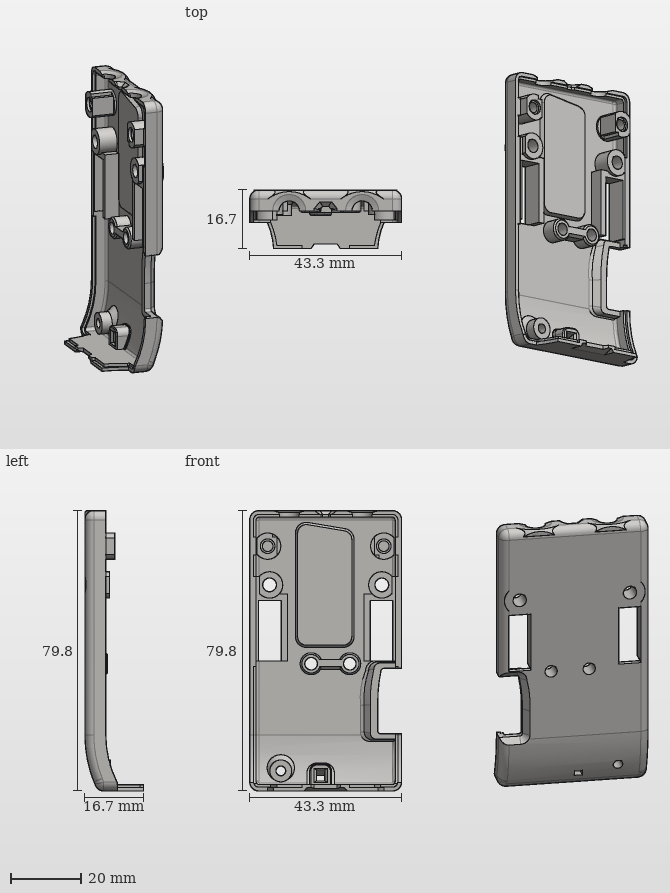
import cadquery as cq
import math


WIDTH = 43.25
HEIGHT = 79.8
HALF_WIDTH = WIDTH / 2
RIM_DEPTH = 6.0
TIP_DEPTH = 16.7
EDGE_RADIUS = 2.55
CORNER_RADIUS = 2.6
WALL = 1.8
FLOOR = 1.7
FLOOR_FILLET = 0.8
CAVITY_CORNER_RADIUS = 0.95

BEND_Z = 15.95
RIM_BEND_RADIUS = 29.8
BEND_AXIS_DEPTH = RIM_DEPTH + RIM_BEND_RADIUS
LOWER_RIM_DEPTH = 9.25

LEDGE_INSET = 1.1
LEDGE_DROP = 0.7
LEDGE_GAP = (35.4, 61.0)

POST_X = 16.5
POST_Z = 69.7
POST_RADIUS = 3.75
POST_DEPTH = 8.5
POST_FOOT_DEPTH = 2.2
POST_INNER_FLAT = 2.6
POST_OUTER_FLAT = 2.95
POST_NOTCH_X = 1.35
POST_NOTCH_Z = 2.55
POST_HOLE_RADIUS = 1.5
POST_COUNTERBORE_RADIUS = 2.1
POST_COUNTERBORE_DEPTH = 0.8
POST_HOLE_DEPTH = 5.6

BOSS_X = 15.95
BOSS_Z = 58.65
BOSS_RADIUS = 3.75
BOSS_DEPTH = 7.0
BOSS_HOLE_RADIUS = 1.9
BOSS_FLAT_X = 18.8
BACK_PAD_RADIUS = 4.4

WINDOW_INNER_X = 12.7
WINDOW_OUTER_X = 19.1
WINDOW_Z = (37.0, 54.2)
FRAME_WALL = 1.8
FRAME_DEPTH = 5.9

PANEL_X = (-8.6, 8.05)
PANEL_BOTTOM_Z = 40.85
PANEL_LEFT_Z = 77.0
PANEL_RIGHT_Z = 74.2
PANEL_RADIUS = 3.1
PANEL_DEPTH = 2.9
PANEL_EDGE = 0.6

TWIN_X = (-4.15, 6.9)
TWIN_Z = 36.2
TWIN_RADIUS = 3.1
TWIN_HOLE_RADIUS = 1.75
TWIN_DEPTH = 6.4
TWIN_CHAMFER = 0.5
LINK_Z = (34.6, 37.4)
LINK_CHAMFER = 0.8

LOWER_BOSS_X = -12.8
LOWER_BOSS_Z = 5.75
LOWER_BOSS_RADIUS = 3.1
LOWER_BOSS_DEPTH = 7.3
LOWER_BOSS_HOLE_RADIUS = 1.35
LOWER_FOOT_RADIUS = 4.95
LOWER_FOOT_DEPTH = 4.15

LOOP_X = -1.4
LOOP_HALF_WIDTH = 3.1
LOOP_TOP_Z = 7.75
LOOP_DEPTH = 7.2
LOOP_CORNER = 2.1
LOOP_CHAMFER = 0.3
LOOP_FOOT_MARGIN = 0.8
LOOP_FOOT_TOP_Z = 8.0
LOOP_FOOT_RISE = 0.3
LOOP_HOLE_SECTIONS = (
    (LOOP_DEPTH, 1.9, (2.5, 6.5)),
    (LOOP_DEPTH - 2 * LOOP_CHAMFER, 1.2, (2.9, 6.1)),
    (0, 1.1, (2.95, 3.75)),
)

OPENING_KNEE_DEPTH = 2.0
OPENING_CURB_DEPTH = 3.75
OPENING_Z = (16.35, 34.9)
OPENING_UPPER_X = 15.7
OPENING_LOWER_X = 14.85
OPENING_RADIUS = 0.8
OPENING_FLARE = 1.8

CABLE_X = 10.4
CABLE_RADIUS = 2.9
CABLE_MOUTH_RADIUS = 4.7
CABLE_MOUTH_DROP = 0.55
CABLE_HUMP_HALF_WIDTH = 6.1
CABLE_HUMP_BASE_HALF_WIDTH = 6.9
CABLE_HUMP_APEX_DEPTH = 0.5
CABLE_HUMP_FLARE = 1.75

LATCH_MOUTH_HALF_WIDTH = 3.3
LATCH_MOUTH_RISE = 2.6
LATCH_HALF_WIDTH = 1.7
LATCH_RISE = 1.35
LATCH_BEVEL_Z = 78.7

LIP_ROOT_X = 16.6
LIP_MID_X = 15.3
LIP_MID_DEPTH = 13.2
LIP_TIP_X = 14.85
LIP_STEP = 0.95
LIP_CENTER_X = 6.7
LIP_NOTCH_OUTER_X = 4.15
LIP_NOTCH_INNER_X = 3.3
LIP_NOTCH_LENGTH = 1.3
LIP_RAMP_HALF_WIDTH = 6.15
LIP_RAMP_TOP_HALF_WIDTH = 5.3
LIP_RAMP_HEIGHT = 1.0
LIP_RAMP_LENGTH = 4.0


def front_plane(depth):
    """Sketch plane facing -Y; local axes are X and Z, extrusion adds depth."""
    return cq.Workplane("XZ").workplane(offset=depth)


def block(x_range, z_range, start, end):
    return cq.Workplane("XY").box(
        x_range[1] - x_range[0], end - start, z_range[1] - z_range[0], centered=False
    ).translate((x_range[0], -end, z_range[0]))


def cylinder(x, z, radius, start, end):
    return front_plane(start).center(x, z).circle(radius).extrude(end - start)


def bend_depth(radius, z):
    """Depth of a bend arc of the given radius at height z."""
    return BEND_AXIS_DEPTH - math.sqrt(radius ** 2 - (BEND_Z - z) ** 2)


def bend_arc(sketch, radius, end_z):
    """Add the bend arc from BEND_Z down to end_z."""
    mid_z = (BEND_Z + end_z) / 2
    return sketch.threePointArc(
        (-bend_depth(radius, mid_z), mid_z), (-bend_depth(radius, end_z), end_z)
    )


def bent_prism(start_depth, bottom_z, top_z, half_width):
    """Everything in front of a bent surface that lies start_depth from the back."""
    front = TIP_DEPTH + 0.8
    sketch = cq.Workplane("YZ").moveTo(-front, top_z).lineTo(-start_depth, top_z).lineTo(-start_depth, BEND_Z)
    sketch = bend_arc(sketch, BEND_AXIS_DEPTH - start_depth, bottom_z)
    return sketch.lineTo(-front, bottom_z).close().extrude(half_width, both=True)


def rim_bend_end(radius, depth):
    """Height at which a bend arc reaches the given depth."""
    return BEND_Z - math.sqrt(radius ** 2 - (BEND_AXIS_DEPTH - depth) ** 2)


def rim_front_prism(drop, inset):
    """Everything in front of the rim surface lowered by drop, inset from the outer sides."""
    radius = RIM_BEND_RADIUS + drop
    lower_depth = LOWER_RIM_DEPTH - drop
    front = TIP_DEPTH + 0.8
    sketch = (
        cq.Workplane("YZ").moveTo(-front, HEIGHT - inset)
        .lineTo(drop - RIM_DEPTH, HEIGHT - inset).lineTo(drop - RIM_DEPTH, BEND_Z)
    )
    sketch = bend_arc(sketch, radius, rim_bend_end(radius, lower_depth))
    sketch = sketch.lineTo(-lower_depth, inset).lineTo(-front, inset).close()
    return sketch.extrude(HALF_WIDTH - inset, both=True)


def outer_body():
    body = bent_prism(0, 0, HEIGHT, HALF_WIDTH).cut(rim_front_prism(0, 0))
    body = body.edges("|Y").fillet(CORNER_RADIUS)
    body = body.faces(">Y").edges(">Z").fillet(EDGE_RADIUS)
    for side in (-1, 1):
        body = body.union(cylinder(side * BOSS_X, BOSS_Z, BACK_PAD_RADIUS, 0, RIM_DEPTH))
        body = body.union(cable_hump(side * CABLE_X))
    return body.cut(opening_cut())


def cable_hump_outline(x, z, half_width, apex_depth):
    """Bowed outline that reaches apex_depth behind the middle of a cable notch."""
    return (
        cq.Workplane("XY").workplane(offset=z)
        .moveTo(x - half_width, -EDGE_RADIUS)
        .threePointArc((x, -apex_depth), (x + half_width, -EDGE_RADIUS))
        .lineTo(x + half_width, -RIM_DEPTH).lineTo(x - half_width, -RIM_DEPTH)
        .close().val()
    )


def cable_hump(x):
    """Flared hump that squares off the rounded top edge behind a cable notch."""
    crest = cable_hump_outline(x, HEIGHT, CABLE_HUMP_HALF_WIDTH, CABLE_HUMP_APEX_DEPTH)
    base = cable_hump_outline(
        x, HEIGHT - WALL, CABLE_HUMP_BASE_HALF_WIDTH, CABLE_HUMP_APEX_DEPTH - CABLE_HUMP_FLARE
    )
    hump = cq.Workplane(cq.Solid.makeLoft([base, crest], True))
    return hump.intersect(block((-HALF_WIDTH, HALF_WIDTH), (0, HEIGHT), 0, RIM_DEPTH))


def cavity():
    space = bent_prism(FLOOR, WALL, HEIGHT - WALL, HALF_WIDTH - WALL)
    space = space.edges("|Y").fillet(CAVITY_CORNER_RADIUS)
    return space.faces(">Y").edges(">Z").fillet(FLOOR_FILLET)


def ledge():
    space = rim_front_prism(LEDGE_DROP, LEDGE_INSET).edges("|Y").fillet(CORNER_RADIUS - LEDGE_INSET)
    full_width = (-HALF_WIDTH, HALF_WIDTH)
    post_gap = (POST_Z - POST_NOTCH_Z, POST_Z + POST_NOTCH_Z)
    for gap in (LEDGE_GAP, post_gap):
        space = space.cut(block(full_width, gap, 0, TIP_DEPTH + 0.8))
    return space


def lip_outline(inset):
    """Flared plate outline; inset trims its sides and its tip."""
    tip = TIP_DEPTH - inset
    return (
        cq.Workplane("XY")
        .moveTo(-LIP_ROOT_X + inset, -LOWER_RIM_DEPTH + LEDGE_DROP)
        .lineTo(-LIP_ROOT_X + inset, -LOWER_RIM_DEPTH)
        .threePointArc((-LIP_MID_X + inset, -LIP_MID_DEPTH), (-LIP_TIP_X + inset, -tip))
        .lineTo(LIP_TIP_X - inset, -tip)
        .threePointArc((LIP_MID_X - inset, -LIP_MID_DEPTH), (LIP_ROOT_X - inset, -LOWER_RIM_DEPTH))
        .lineTo(LIP_ROOT_X - inset, -LOWER_RIM_DEPTH + LEDGE_DROP)
        .close()
    )


def lip():
    plate = lip_outline(0).extrude(LIP_STEP).union(lip_outline(LIP_STEP).extrude(WALL))
    plate = plate.union(block((-LIP_CENTER_X, LIP_CENTER_X), (0, WALL), LOWER_RIM_DEPTH, TIP_DEPTH))
    notch = (
        cq.Workplane("XY")
        .polyline([
            (-LIP_NOTCH_OUTER_X, -TIP_DEPTH),
            (-LIP_NOTCH_INNER_X, -TIP_DEPTH + LIP_NOTCH_LENGTH),
            (LIP_NOTCH_INNER_X, -TIP_DEPTH + LIP_NOTCH_LENGTH),
            (LIP_NOTCH_OUTER_X, -TIP_DEPTH),
        ])
        .close().extrude(WALL)
    )
    ramp_end = front_plane(TIP_DEPTH).polyline([
        (-LIP_RAMP_HALF_WIDTH, 0), (-LIP_RAMP_TOP_HALF_WIDTH, LIP_RAMP_HEIGHT),
        (LIP_RAMP_TOP_HALF_WIDTH, LIP_RAMP_HEIGHT), (LIP_RAMP_HALF_WIDTH, 0),
    ]).close().extrude(-LIP_RAMP_LENGTH)
    ramp_wedge = (
        cq.Workplane("YZ")
        .polyline([(-TIP_DEPTH, 0), (-TIP_DEPTH, LIP_RAMP_HEIGHT), (LIP_RAMP_LENGTH - TIP_DEPTH, 0)])
        .close().extrude(LIP_RAMP_HALF_WIDTH, both=True)
    )
    return plate.cut(notch).cut(ramp_end.intersect(ramp_wedge))


def opening_outline(depth, upper_x, lower_x, z_range, radius):
    """Side opening outline whose inner edge bows from upper_x down to lower_x."""
    bottom, top = z_range
    far = HALF_WIDTH
    straight_z = bottom + (top - bottom) * 0.45
    mid_x = lower_x + (upper_x - lower_x) / 4
    mid_z = (straight_z + top) / 2
    diagonal = radius * math.sqrt(0.5)
    return (
        front_plane(depth)
        .moveTo(far, top).lineTo(upper_x + radius, top)
        .threePointArc((upper_x + radius - diagonal, top - radius + diagonal), (upper_x, top - radius))
        .threePointArc((mid_x, mid_z), (lower_x, straight_z))
        .lineTo(lower_x, bottom + radius)
        .threePointArc((lower_x + radius - diagonal, bottom + radius - diagonal), (lower_x + radius, bottom))
        .lineTo(far, bottom).close()
    )


def opening_curb():
    """Curb that swells at its foot and then rises steeply to a flat crest."""
    foot = opening_outline(FLOOR, 11.3, 9.9, (14.0, 37.0), 2.8).val()
    knee = opening_outline(OPENING_KNEE_DEPTH, 12.2, 10.9, (14.5, 36.7), 2.4).val()
    crest = opening_outline(OPENING_CURB_DEPTH, 13.7, 12.7, (14.85, 36.4), 1.6).val()
    return cq.Workplane(cq.Solid.makeLoft([foot, knee, crest], True))


def opening_cut():
    """Side opening, flared toward the back."""
    bottom, top = OPENING_Z
    flare = OPENING_FLARE
    back = opening_outline(
        0, OPENING_UPPER_X - flare, OPENING_LOWER_X - flare, (bottom - flare, top + flare),
        OPENING_RADIUS + flare,
    )
    throat = opening_outline(flare, OPENING_UPPER_X, OPENING_LOWER_X, OPENING_Z, OPENING_RADIUS)
    mouth = cq.Workplane(cq.Solid.makeLoft([back.val(), throat.val()], True))
    return throat.extrude(TIP_DEPTH).union(mouth)


def side_post(side):
    """Upper post with flats and a corner notch; the two posts are half-turn copies."""
    post = cylinder(0, 0, POST_RADIUS, POST_FOOT_DEPTH, POST_DEPTH)
    reach = 2 * POST_RADIUS
    post = post.cut(block((POST_INNER_FLAT, reach), (-reach, reach), 0, POST_DEPTH))
    post = post.cut(block((POST_NOTCH_X, reach), (POST_NOTCH_Z, reach), 0, POST_DEPTH))
    post = post.union(cylinder(0, 0, POST_RADIUS, FLOOR / 2, POST_FOOT_DEPTH))
    post = post.cut(block((-reach, -POST_OUTER_FLAT), (-reach, reach), 0, POST_DEPTH))
    if side > 0:
        post = post.rotate((0, 0, 0), (0, 1, 0), 180)
    return post.translate((side * POST_X, 0, POST_Z))


def side_post_hole(side):
    x = side * POST_X
    hole = cylinder(x, POST_Z, POST_HOLE_RADIUS, POST_DEPTH - POST_HOLE_DEPTH, POST_DEPTH)
    return hole.union(
        cylinder(x, POST_Z, POST_COUNTERBORE_RADIUS, POST_DEPTH - POST_COUNTERBORE_DEPTH, POST_DEPTH)
    )


def mirrored_range(side, inner, outer):
    return tuple(sorted((side * inner, side * outer)))


def screw_boss(side):
    boss = cylinder(side * BOSS_X, BOSS_Z, BOSS_RADIUS, FLOOR / 2, BOSS_DEPTH)
    outside = mirrored_range(side, BOSS_FLAT_X, HALF_WIDTH)
    return boss.cut(block(outside, (0, HEIGHT), 0, BOSS_DEPTH))


def window_frame(side):
    """Guard wall beside the window, joined to the side wall above and along the window."""
    bottom, top = WINDOW_Z
    guard_x = mirrored_range(side, WINDOW_INNER_X - FRAME_WALL, BOSS_FLAT_X)
    guard = block(guard_x, (bottom, top + FRAME_WALL), FLOOR / 2, FRAME_DEPTH)
    filler_x = mirrored_range(side, BOSS_FLAT_X, HALF_WIDTH - WALL / 2)
    return guard.union(block(filler_x, (bottom, LEDGE_GAP[1]), FLOOR / 2, FRAME_DEPTH))


def window_cut(side):
    return block(mirrored_range(side, WINDOW_INNER_X, WINDOW_OUTER_X), WINDOW_Z, 0, TIP_DEPTH)


def raised_panel():
    left, right = PANEL_X
    panel = (
        front_plane(FLOOR / 2)
        .polyline([
            (left, PANEL_BOTTOM_Z), (right, PANEL_BOTTOM_Z), (right, PANEL_RIGHT_Z), (left, PANEL_LEFT_Z),
        ])
        .close().extrude(PANEL_DEPTH - FLOOR / 2)
    )
    panel = panel.edges("|Y").fillet(PANEL_RADIUS)
    return panel.faces("<Y").chamfer(PANEL_DEPTH - FLOOR, PANEL_EDGE)


def twin_bosses():
    link = block(TWIN_X, LINK_Z, FLOOR / 2, TWIN_DEPTH)
    link = link.faces("<Y").edges("<Z").chamfer(LINK_CHAMFER)
    for x in TWIN_X:
        boss = cylinder(x, TWIN_Z, TWIN_RADIUS, FLOOR / 2, TWIN_DEPTH)
        link = link.union(boss.faces("<Y").chamfer(TWIN_CHAMFER))
    return link


def lower_boss():
    boss = cylinder(LOWER_BOSS_X, LOWER_BOSS_Z, LOWER_BOSS_RADIUS, FLOOR, LOWER_BOSS_DEPTH)
    foot = cq.Solid.makeCone(
        LOWER_FOOT_RADIUS, LOWER_BOSS_RADIUS, LOWER_FOOT_DEPTH - FLOOR,
        cq.Vector(LOWER_BOSS_X, -FLOOR, LOWER_BOSS_Z), cq.Vector(0, -1, 0),
    )
    return boss.union(cq.Workplane(foot))


def strap_loop():
    half = LOOP_HALF_WIDTH
    loop = block((LOOP_X - half, LOOP_X + half), (WALL / 2, LOOP_TOP_Z), FLOOR, LOOP_DEPTH)
    loop = loop.edges("|Y and >Z").fillet(LOOP_CORNER)
    loop = loop.faces("<Y").edges("not <Z").chamfer(LOOP_CHAMFER)
    half += LOOP_FOOT_MARGIN
    foot = block((LOOP_X - half, LOOP_X + half), (WALL / 2, LOOP_FOOT_TOP_Z), FLOOR, LOOP_DEPTH)
    foot = foot.edges("|Y and >Z").fillet(LOOP_CORNER + LOOP_FOOT_MARGIN)
    return loop.union(foot.cut(bent_prism(FLOOR + LOOP_FOOT_RISE, 0, HEIGHT, HALF_WIDTH)))


def strap_loop_hole():
    """Hole that narrows at its mouth and again toward the back."""
    sections = []
    for depth, half_width, z_range in LOOP_HOLE_SECTIONS:
        bottom, top = z_range
        section = front_plane(depth).center(LOOP_X, (bottom + top) / 2).rect(2 * half_width, top - bottom)
        sections.append(section.val())
    return cq.Workplane(cq.Solid.makeLoft(sections, True))


def cable_notch(x):
    """Half-round notch whose mouth opens in a shallow cone to the top face."""
    profile = (
        cq.Workplane("XZ")
        .polyline([
            (0, HEIGHT - 2 * WALL),
            (CABLE_RADIUS, HEIGHT - 2 * WALL),
            (CABLE_RADIUS, HEIGHT - CABLE_MOUTH_DROP),
            (CABLE_MOUTH_RADIUS, HEIGHT),
            (0, HEIGHT),
        ])
        .close()
    )
    return profile.revolve(360, (0, 0, 0), (0, 1, 0)).translate((x, -RIM_DEPTH, 0))


def half_octagon(z, half_width, rise):
    """Outline in the wall plane, rising from the rim toward the back."""
    shoulder = half_width / 2
    return (
        cq.Workplane("XY").workplane(offset=z)
        .polyline([
            (-half_width, -RIM_DEPTH), (-half_width, rise / 4 - RIM_DEPTH), (-shoulder, rise - RIM_DEPTH),
            (shoulder, rise - RIM_DEPTH), (half_width, rise / 4 - RIM_DEPTH), (half_width, -RIM_DEPTH),
        ])
        .close()
    )


def latch_notch():
    slot = half_octagon(HEIGHT - 2 * WALL, LATCH_HALF_WIDTH, LATCH_RISE)
    throat = half_octagon(LATCH_BEVEL_Z, LATCH_HALF_WIDTH, LATCH_RISE).val()
    mouth = half_octagon(HEIGHT, LATCH_MOUTH_HALF_WIDTH, LATCH_MOUTH_RISE).val()
    bevel = cq.Workplane(cq.Solid.makeLoft([throat, mouth], True))
    return slot.extrude(LATCH_BEVEL_Z - HEIGHT + 2 * WALL).union(bevel)


outside = outer_body()
result = outside.cut(cavity()).cut(ledge()).union(lip())

result = result.union(opening_curb().intersect(outside)).union(raised_panel()).union(twin_bosses())
behind_floor = bent_prism(FLOOR / 2, 0, HEIGHT, HALF_WIDTH)
result = result.union(lower_boss().union(strap_loop()).intersect(behind_floor))
for side in (-1, 1):
    result = result.union(side_post(side)).union(screw_boss(side)).union(window_frame(side))

result = result.cut(latch_notch()).cut(strap_loop_hole())
result = result.cut(cylinder(LOWER_BOSS_X, LOWER_BOSS_Z, LOWER_BOSS_HOLE_RADIUS, 0, LOWER_BOSS_DEPTH))
for x in TWIN_X:
    result = result.cut(cylinder(x, TWIN_Z, TWIN_HOLE_RADIUS, 0, TWIN_DEPTH))
for side in (-1, 1):
    result = result.cut(side_post_hole(side)).cut(window_cut(side)).cut(cable_notch(side * CABLE_X))
    result = result.cut(cylinder(side * BOSS_X, BOSS_Z, BOSS_HOLE_RADIUS, 0, BOSS_DEPTH))